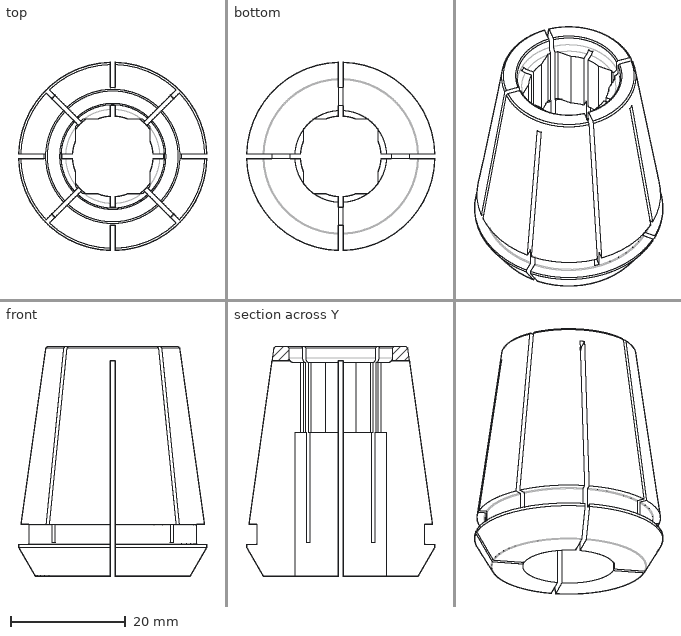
import cadquery as cq
import math

length = 40.0
taper_angle = 8.0
nose_angle = 30.0
flange_radius = 16.4
flange_base_z = 5.05
groove_bottom_z = 5.55
groove_top_z = 9.05
groove_radius = 14.6
groove_fillet = 0.15
nose_fillet = 0.2
taper_base_radius = 16.0
rim_chamfer = 0.3

relief_hole_diameter = 14.0
square_width = 12.95
square_corner_diameter = 16.6
shank_bore_diameter = 16.0
shank_bore_depth = 25.0

recess_radius = 9.0
recess_depth = 2.8
recess_fillet = 0.8
recess_chamfer = 0.25

slit_width = 0.8
slit_count = 4
nose_slit_top_z = 37.5
tail_slit_bottom_z = 5.9

match_tolerance = 1e-4


def circles_at(body, height, radius):
    """Return the circular edges of the body with the given height and radius."""
    return [
        edge
        for edge in body.edges("%CIRCLE").vals()
        if math.isclose(edge.Center().z, height, abs_tol=match_tolerance)
        and math.isclose(edge.radius(), radius, abs_tol=match_tolerance)
    ]


def make_body():
    """Revolve the outer profile about Z."""
    nose_radius = flange_radius - flange_base_z * math.tan(math.radians(nose_angle))
    taper_top_z = length - rim_chamfer
    taper_height = taper_top_z - groove_top_z
    taper_top_radius = taper_base_radius - taper_height * math.tan(math.radians(taper_angle))
    profile = [
        (0, 0),
        (nose_radius, 0),
        (flange_radius, flange_base_z),
        (flange_radius, groove_bottom_z),
        (groove_radius, groove_bottom_z),
        (groove_radius, groove_top_z),
        (taper_base_radius, groove_top_z),
        (taper_top_radius, taper_top_z),
        (taper_top_radius - rim_chamfer, length),
        (0, length),
    ]
    body = cq.Workplane("XZ").polyline(profile).close().revolve(360, (0, 0), (0, 1))
    for root_z in (groove_bottom_z, groove_top_z):
        body = body.newObject(circles_at(body, root_z, groove_radius)).fillet(groove_fillet)
    return body.newObject(circles_at(body, 0, nose_radius)).fillet(nose_fillet)


def make_cylinder(diameter, height):
    """Cylinder on the Z axis standing on the large end face."""
    return cq.Workplane("XY").circle(diameter / 2).extrude(height)


def make_bore():
    """Square drive hole with round relief, joined with the round shank bore."""
    square = (
        cq.Workplane("XY")
        .workplane(offset=shank_bore_depth)
        .rect(square_width, square_width)
        .extrude(length - shank_bore_depth)
    )
    drive_hole = square.intersect(make_cylinder(square_corner_diameter, length))
    relief_hole = make_cylinder(relief_hole_diameter, length)
    shank_bore = make_cylinder(shank_bore_diameter, shank_bore_depth)
    return drive_hole.union(relief_hole).union(shank_bore)


def make_recess():
    """Round recess with a filleted floor edge and a chamfered mouth."""
    floor_z = length - recess_depth
    fillet_mid = recess_fillet * math.sqrt(0.5)
    fillet_center_radius = recess_radius - recess_fillet
    fillet_center_z = floor_z + recess_fillet
    return (
        cq.Workplane("XZ")
        .moveTo(0, floor_z)
        .lineTo(fillet_center_radius, floor_z)
        .threePointArc(
            (fillet_center_radius + fillet_mid, fillet_center_z - fillet_mid),
            (recess_radius, fillet_center_z),
        )
        .lineTo(recess_radius, length - recess_chamfer)
        .lineTo(recess_radius + recess_chamfer, length)
        .lineTo(0, length)
        .close()
        .revolve(360, (0, 0), (0, 1))
    )


def cut_slits(body, bottom_z, top_z, start_angle):
    """Cut a set of evenly spaced radial slits between two heights."""
    slit = (
        cq.Workplane("XY")
        .workplane(offset=bottom_z)
        .center(flange_radius / 2, 0)
        .rect(flange_radius + slit_width, slit_width)
        .extrude(top_z - bottom_z)
    )
    pitch = 360 / slit_count
    for index in range(slit_count):
        body = body.cut(slit.rotate((0, 0, 0), (0, 0, 1), start_angle + index * pitch))
    return body


result = make_body().cut(make_bore()).cut(make_recess())
result = cut_slits(result, 0, nose_slit_top_z, 0)
result = cut_slits(result, tail_slit_bottom_z, length, 180 / slit_count)